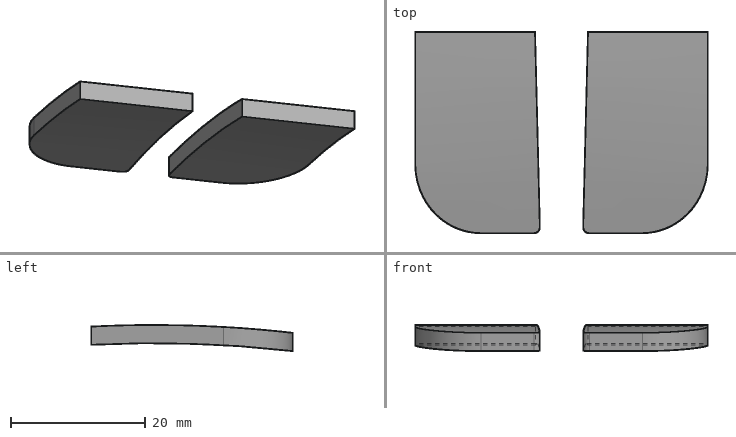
import cadquery as cq
import math

WIDTH = 43.6
LENGTH = 30.0
HEIGHT = 3.92

FRONT_GAP = 6.35
BACK_GAP = 7.85
OUTER_CORNER_X = 9.8
OUTER_CORNER_Y = 10.35
INNER_CORNER_RADIUS = 0.9

THICKNESS = 2.75
CREST_TO_FRONT = 20.65

outer_x = WIDTH / 2
front_y = -LENGTH / 2
back_y = LENGTH / 2
crest_y = front_y + CREST_TO_FRONT
front_drop = HEIGHT - THICKNESS
bend_radius = (CREST_TO_FRONT ** 2 + front_drop ** 2) / (2 * front_drop)


def arch_height(y):
    """Height at y of the arc whose crest is at zero."""
    return math.sqrt(bend_radius ** 2 - (y - crest_y) ** 2) - bend_radius


def bent_sheet():
    """Full-width sheet of constant vertical thickness, arched along Y."""
    top_front = HEIGHT + arch_height(front_y)
    top_back = HEIGHT + arch_height(back_y)
    crest_bottom = HEIGHT - THICKNESS
    return (
        cq.Workplane("YZ", origin=(-outer_x, 0, 0))
        .moveTo(front_y, top_front)
        .threePointArc((crest_y, HEIGHT), (back_y, top_back))
        .lineTo(back_y, top_back - THICKNESS)
        .threePointArc((crest_y, crest_bottom), (front_y, top_front - THICKNESS))
        .close()
        .extrude(WIDTH)
    )


def outline_prism():
    """Vertical prism with the plan outline of the right-hand plate."""
    prism = (
        cq.Workplane("XY")
        .moveTo(outer_x - OUTER_CORNER_X, front_y)
        .ellipseArc(OUTER_CORNER_X, OUTER_CORNER_Y, 270, 360)
        .lineTo(outer_x, back_y)
        .lineTo(BACK_GAP / 2, back_y)
        .lineTo(FRONT_GAP / 2, front_y)
        .close()
        .extrude(HEIGHT)
    )
    inner_corner = cq.selectors.NearestToPointSelector((FRONT_GAP / 2, front_y, HEIGHT / 2))
    return prism.edges(inner_corner).fillet(INNER_CORNER_RADIUS)


def plate():
    """Right-hand plate: the outline cut from the bent sheet."""
    return bent_sheet().intersect(outline_prism()).solids()


right_plate = plate()
left_plate = right_plate.mirror("YZ")

result = cq.Compound.makeCompound([left_plate.val(), right_plate.val()])